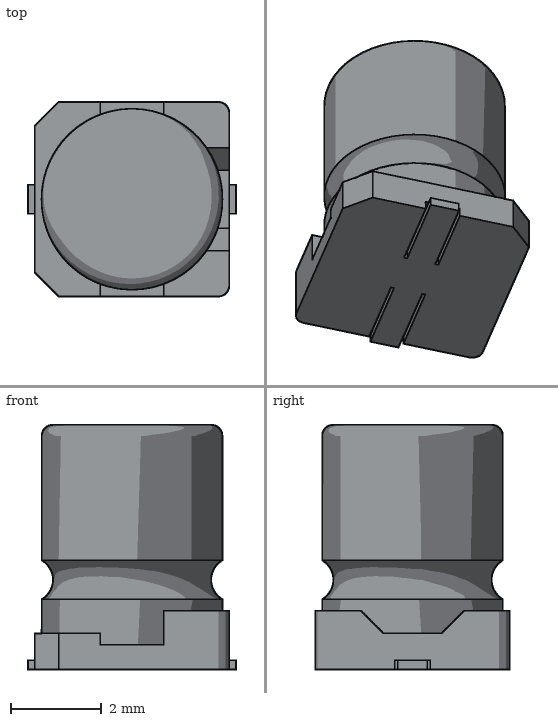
import cadquery as cq

total_height = 5.41
total_length = 4.6
base_side = 4.3
can_diameter = 4.0

base_high = 1.305
base_low = 0.8
side_slot_floor = 0.545
side_slot_width = 1.405
corner_chamfer = 0.53
corner_radius = 0.25

channel_floor_width = 1.275
channel_depth = base_high - base_low
channel_top_width = channel_floor_width + 2 * channel_depth

crown_radius = 0.25
groove_bottom = 1.55
groove_top = 2.42
groove_depth = 0.25

lead_width = 0.65
lead_height = 0.21
lead_gap = 1.0
lead_slot_width = 0.79

half_side = base_side / 2
can_radius = can_diameter / 2
half_slot = side_slot_width / 2
lead_length = (total_length - lead_gap) / 2
lead_slot_length = (base_side - lead_gap) / 2


def make_base():
    """Stepped block: low -X end, sunken middle and tall +X end."""
    base = (
        cq.Workplane("XZ")
        .moveTo(-half_side, 0)
        .lineTo(half_side, 0)
        .lineTo(half_side, base_high)
        .lineTo(half_slot, base_high)
        .lineTo(half_slot, side_slot_floor)
        .lineTo(-half_slot, side_slot_floor)
        .lineTo(-half_slot, base_low)
        .lineTo(-half_side, base_low)
        .close()
        .extrude(half_side, both=True)
    )
    base = base.edges("|Z and <X").chamfer(corner_chamfer)
    return base.edges("|Z and >X").fillet(corner_radius)


def make_channel():
    """Cutter for the flared channel running along X through the tall end."""
    return (
        cq.Workplane("YZ")
        .workplane(offset=half_slot)
        .moveTo(-channel_floor_width / 2, base_low)
        .lineTo(channel_floor_width / 2, base_low)
        .lineTo(channel_top_width / 2, base_high)
        .lineTo(-channel_top_width / 2, base_high)
        .close()
        .extrude(half_side - half_slot)
    )


def make_can():
    """Revolved can with a rounded crown and a crimped groove."""
    groove_middle = (groove_bottom + groove_top) / 2
    can = (
        cq.Workplane("XZ")
        .moveTo(0, side_slot_floor)
        .lineTo(can_radius, side_slot_floor)
        .lineTo(can_radius, groove_bottom)
        .threePointArc((can_radius - groove_depth, groove_middle), (can_radius, groove_top))
        .lineTo(can_radius, total_height)
        .lineTo(0, total_height)
        .close()
        .revolve(360, (0, 0, 0), (0, 1, 0))
    )
    return can.faces(">Z").edges().fillet(crown_radius)


def end_bars(length, width):
    """A pair of bars on the seating plane, one on each side of the lead gap."""
    return (
        cq.Workplane("XY")
        .pushPoints([(side * (lead_gap + length) / 2, 0) for side in (-1, 1)])
        .rect(length, width)
        .extrude(lead_height)
    )


lead_slots = end_bars(lead_slot_length, lead_slot_width)
leads = end_bars(lead_length, lead_width)

result = make_base().cut(make_channel()).union(make_can()).cut(lead_slots).union(leads)